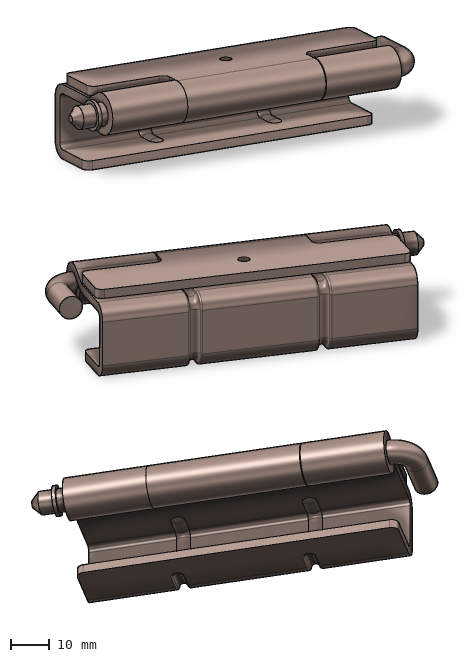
import cadquery as cq
import math


sheet = 2.5
pin_radius = 3.1
knuckle_radius = pin_radius + sheet
curl_end_height = 0.4
leaf_length = 85.0
half_length = leaf_length / 2
corner_radius = 2.0

window_length = 40.8
knuckle_clearance = 0.2
middle_knuckle_start = -window_length / 2
middle_knuckle_end = window_length / 2 - knuckle_clearance

channel_left = -24.5
channel_bottom = -17.5
channel_height = 20.0
channel_top = channel_bottom + channel_height
flange_length = 16.1
flange_end = channel_left + flange_length
inner_bend = 1.5
outer_bend = inner_bend + sheet
rise_angle = math.radians(28)

bead_offset = 17.4
groove_radius = 1.4
groove_rounding = 0.5
bead_height = 0.6
bead_radius = sheet + bead_height
bead_end = -16.3

leaf_left = -19.9
leaf_notch_edge = -6.0
leaf_bottom = knuckle_radius - sheet
hole_x = -10.8
hole_radius = 1.5

elbow_radius = 5.8
elbow_start = half_length
arm_end = -16.1
tip_reach = 9.3
tip_y = -half_length - tip_reach
tip_chamfer = 2.2
collar_radius = 4.0
collar_width = 1.0
collar_gap = 2.3


def tangent_point(radius, angle):
    """Point where a line rising at the angle meets a circle around the hinge axis."""
    return (-radius * math.sin(angle), radius * math.cos(angle))


def rise_start(radius, height):
    """Point at the given height on the rising line tangent to the circle of this radius."""
    x = (height * math.cos(rise_angle) - radius) / math.sin(rise_angle)
    return (x, height)


def curl_end(radius):
    """Point on the circle at the free end of a rolled knuckle."""
    return (-math.sqrt(radius**2 - curl_end_height**2), curl_end_height)


def add_curl(outline, angle):
    """Continue an outline from the outer tangent point round the knuckle to the inner one."""
    return (
        outline.threePointArc((knuckle_radius, 0), curl_end(knuckle_radius))
        .lineTo(*curl_end(pin_radius))
        .threePointArc((pin_radius, 0), tangent_point(pin_radius, angle))
    )


def add_channel_back(outline):
    """Continue an outline up the outer back of the channel, from bottom bend to top bend."""
    bend_end_x = channel_left + outer_bend
    return (
        outline.lineTo(bend_end_x, channel_bottom)
        .tangentArcPoint((channel_left, channel_bottom + outer_bend), relative=False)
        .lineTo(channel_left, channel_top - outer_bend)
        .tangentArcPoint((bend_end_x, channel_top), relative=False)
    )


def box(x_min, x_max, y_min, y_max, z_min, z_max):
    """Axis-aligned block between the given limits."""
    size = (x_max - x_min, y_max - y_min, z_max - z_min)
    return cq.Workplane("XY").box(*size, centered=False).translate((x_min, y_min, z_min))


def bead_tube(radius, y):
    """Round-ended tube that follows the outer face of the channel at the given Y."""
    start = cq.Workplane("XZ", origin=(0, y, 0)).moveTo(bead_end, channel_bottom)
    path = add_channel_back(start).lineTo(bead_end, channel_top)
    tube = (
        cq.Workplane("YZ", origin=(bead_end, y, channel_bottom))
        .circle(radius)
        .sweep(path)
    )
    for z in (channel_bottom, channel_top):
        tube = tube.union(cq.Workplane("XY").sphere(radius).translate((bead_end, y, z)))
    return tube


def make_channel_leaf():
    outline = cq.Workplane("XZ").moveTo(flange_end, channel_bottom)
    outline = add_channel_back(outline)
    outline = outline.lineTo(*rise_start(knuckle_radius, channel_top))
    outline = outline.lineTo(*tangent_point(knuckle_radius, rise_angle))
    outline = add_curl(outline, rise_angle)
    outline = outline.lineTo(*rise_start(pin_radius, channel_top - sheet))
    outline = (
        outline.lineTo(channel_left + outer_bend, channel_top - sheet)
        .tangentArcPoint((channel_left + sheet, channel_top - outer_bend), relative=False)
        .lineTo(channel_left + sheet, channel_bottom + outer_bend)
        .tangentArcPoint((channel_left + outer_bend, channel_bottom + sheet), relative=False)
        .lineTo(flange_end, channel_bottom + sheet)
        .close()
    )
    leaf = outline.extrude(half_length, both=True)

    flange_corners = cq.selectors.BoxSelector(
        (flange_end - sheet, -leaf_length, channel_bottom - sheet),
        (flange_end + sheet, leaf_length, channel_bottom + 2 * sheet),
    )
    leaf = leaf.edges("|Z").edges(flange_corners).fillet(corner_radius)

    window_edge = rise_start(knuckle_radius, channel_top)[0]
    leaf = leaf.cut(
        box(
            window_edge, 2 * knuckle_radius,
            -window_length / 2, window_length / 2,
            -2 * knuckle_radius, 2 * knuckle_radius,
        )
    )

    envelope = add_channel_back(cq.Workplane("XZ").moveTo(flange_end, channel_bottom))
    envelope = envelope.lineTo(flange_end, channel_top).close().extrude(half_length, both=True)
    for y in (-bead_offset, bead_offset):
        leaf = leaf.union(bead_tube(bead_radius, y).intersect(envelope))
        leaf = leaf.cut(bead_tube(groove_radius, y))
        groove_rim = cq.selectors.BoxSelector(
            (channel_left - sheet / 2, y - bead_radius, channel_bottom),
            (channel_left + sheet / 4, y + bead_radius, channel_top),
        )
        leaf = leaf.edges("|Z").edges(groove_rim).fillet(groove_rounding)
    return leaf


def make_flat_leaf():
    outline = (
        cq.Workplane("XZ")
        .moveTo(leaf_left, leaf_bottom)
        .lineTo(leaf_left, knuckle_radius)
        .lineTo(*tangent_point(knuckle_radius, 0))
    )
    leaf = add_curl(outline, 0).close().extrude(half_length, both=True)

    for y_min, y_max in ((-half_length, middle_knuckle_start), (middle_knuckle_end, half_length)):
        leaf = leaf.cut(
            box(
                leaf_notch_edge, 2 * knuckle_radius,
                y_min, y_max,
                -2 * knuckle_radius, 2 * knuckle_radius,
            )
        )
    flat_corners = cq.selectors.BoxSelector(
        (leaf_left - sheet, -leaf_length, leaf_bottom - sheet),
        (leaf_notch_edge + corner_radius / 2, leaf_length, knuckle_radius + sheet),
    )
    leaf = leaf.edges("|Z").edges(flat_corners).fillet(corner_radius)

    hole = (
        cq.Workplane("XY", origin=(hole_x, 0, leaf_bottom))
        .circle(hole_radius)
        .extrude(sheet)
    )
    return leaf.cut(hole)


def make_pin():
    path = (
        cq.Workplane("XY")
        .moveTo(0, tip_y)
        .lineTo(0, elbow_start)
        .tangentArcPoint((-elbow_radius, elbow_start + elbow_radius), relative=False)
        .lineTo(arm_end, elbow_start + elbow_radius)
    )
    pin = cq.Workplane("XZ", origin=(0, tip_y, 0)).circle(pin_radius).sweep(path)
    pin = pin.faces("<Y").chamfer(tip_chamfer)

    collar = (
        cq.Workplane("XZ", origin=(0, -half_length - collar_gap, 0))
        .circle(collar_radius)
        .extrude(collar_width)
    )
    return pin.union(collar)


flat_leaf = make_flat_leaf()
channel_leaf = make_channel_leaf().cut(flat_leaf)
pin = make_pin()

result = cq.Compound.makeCompound(
    [channel_leaf.solids().val(), flat_leaf.solids().val(), pin.solids().val()]
)